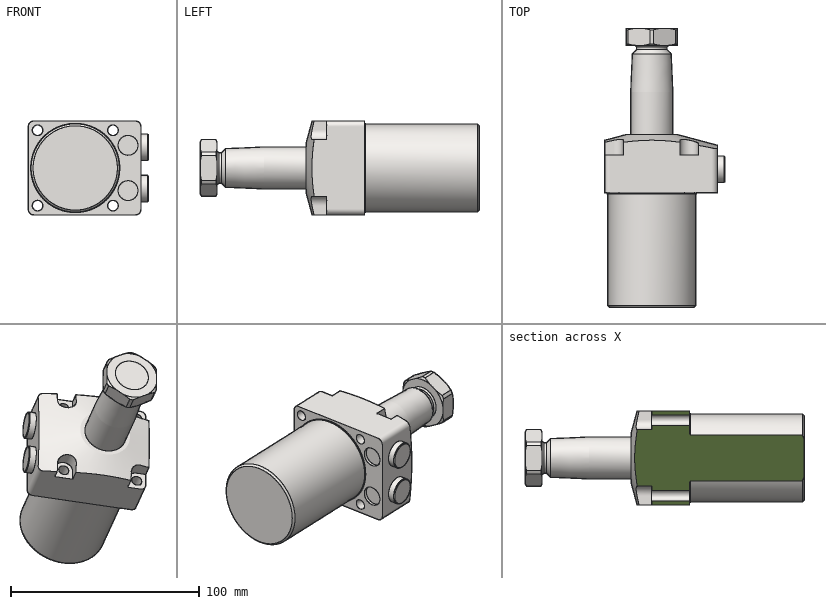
import cadquery as cq
import math


TOTAL_LENGTH = 148.5
TOTAL_WIDTH = 63.9

BLOCK_HEIGHT = 50.0
BLOCK_LENGTH = 60.0
BLOCK_LEFT = -BLOCK_HEIGHT / 2
BLOCK_RIGHT = BLOCK_LEFT + BLOCK_LENGTH
CROWN_Y = 31.0
CORNER_RADIUS = 3.0
CROWN_FLAT_RADIUS = 13.7
CROWN_ANGLE = 15

CYLINDER_RADIUS = 23.5
CYLINDER_LENGTH = 61.0
CYLINDER_CHAMFER = 1.0
COLLAR_RADIUS = 23.8
COLLAR_LENGTH = 0.6

HOLE_OFFSET = 20.0
HOLE_DIAMETER = 5.5
NOTCH_RADIUS = 4.9
NOTCH_FLOOR_Y = 20.2

RECESS_X = 28.0
RECESS_OFFSET_Z = 12.0
RECESS_DIAMETER = 10.5
RECESS_DEPTH = 1.6

PLUG_Y = 12.5
PLUG_OFFSET_Z = 11.0
PLUG_DIAMETER = 14.3
PLUG_LENGTH = TOTAL_WIDTH + BLOCK_LEFT - BLOCK_RIGHT
PLUG_CHAMFER = 0.5

ROD_RADIUS = 11.3
TAPER_START_Y = 53.5
TAPER_END_Y = 74.0
TAPER_END_RADIUS = 10.4
NECK_RADIUS = 8.2
NECK_START_Y = 76.2
THREAD_RADIUS = 9.0

TOP_Y = TOTAL_LENGTH - CYLINDER_LENGTH
NUT_THICKNESS = 9.0
NUT_ACROSS_FLATS = 27.2
NUT_CORNER_RADIUS = 15.1
NUT_FACE_RADIUS = 13.8
NUT_CHAMFER = 0.7
NUT_BOTTOM_Y = TOP_Y - NUT_THICKNESS


def rod_along_y(radius, start_y, end_y, x=0, z=0):
    """Round bar parallel to the Y axis."""
    return cq.Workplane("XZ", origin=(x, start_y, z)).circle(radius).extrude(start_y - end_y)


def turned(profile):
    """Solid turned around the Y axis from (radius, y) points."""
    return cq.Workplane("XY").polyline(profile).close().revolve(360, (0, 0, 0), (0, 1, 0))


def crowned_block():
    """Block with rounded edges whose +Y face is a shallow cone around a flat."""
    block = (
        cq.Workplane("XY")
        .box(BLOCK_LENGTH, CROWN_Y, BLOCK_HEIGHT, centered=(False, False, True))
        .translate((BLOCK_LEFT, 0, 0))
        .edges("|Y")
        .fillet(CORNER_RADIUS)
    )
    outer_radius = BLOCK_LENGTH
    crown_drop = (outer_radius - CROWN_FLAT_RADIUS) * math.tan(math.radians(CROWN_ANGLE))
    crown = turned([
        (0, 0),
        (outer_radius, 0),
        (outer_radius, CROWN_Y - crown_drop),
        (CROWN_FLAT_RADIUS, CROWN_Y),
        (0, CROWN_Y),
    ])
    return block.intersect(crown)


def cylinder():
    """Cylinder that stands on the mounting face, with a collar and a chamfered end."""
    return turned([
        (0, 0),
        (COLLAR_RADIUS, 0),
        (COLLAR_RADIUS, -COLLAR_LENGTH),
        (CYLINDER_RADIUS, -COLLAR_LENGTH),
        (CYLINDER_RADIUS, CYLINDER_CHAMFER - CYLINDER_LENGTH),
        (CYLINDER_RADIUS - CYLINDER_CHAMFER, -CYLINDER_LENGTH),
        (0, -CYLINDER_LENGTH),
    ])


def notch_slot(direction_x, direction_z, x, z):
    """Round-ended slot that runs from a hole centre outwards past the block's side."""
    reach = BLOCK_HEIGHT / 2
    width_x = reach if direction_x else 2 * NOTCH_RADIUS
    width_z = reach if direction_z else 2 * NOTCH_RADIUS
    return (
        cq.Workplane("XY")
        .box(width_x, CROWN_Y, width_z, centered=(True, False, True))
        .translate((x + direction_x * reach / 2, NOTCH_FLOOR_Y, z + direction_z * reach / 2))
        .union(rod_along_y(NOTCH_RADIUS, NOTCH_FLOOR_Y, NOTCH_FLOOR_Y + CROWN_Y, x, z))
    )


def make_housing():
    """Block and cylinder in one piece, with its holes, notches and recesses."""
    housing = crowned_block().union(cylinder())
    for side_z in (-1, 1):
        z = side_z * HOLE_OFFSET
        for side_x in (-1, 1):
            x = side_x * HOLE_OFFSET
            housing = housing.cut(rod_along_y(HOLE_DIAMETER / 2, 0, CROWN_Y, x, z))
            housing = housing.cut(notch_slot(0, side_z, x, z))
        housing = housing.cut(notch_slot(-1, 0, -HOLE_OFFSET, z))
        recess_z = side_z * RECESS_OFFSET_Z
        housing = housing.cut(rod_along_y(RECESS_DIAMETER / 2, 0, RECESS_DEPTH, RECESS_X, recess_z))
    return housing


def make_rod():
    """Rod with a tapered seat, a neck and a threaded end that fills the nut's bore."""
    thread_flare = THREAD_RADIUS - NECK_RADIUS
    return turned([
        (0, CROWN_Y),
        (ROD_RADIUS, CROWN_Y),
        (ROD_RADIUS, TAPER_START_Y),
        (TAPER_END_RADIUS, TAPER_END_Y),
        (NECK_RADIUS, NECK_START_Y),
        (NECK_RADIUS, NUT_BOTTOM_Y - thread_flare),
        (THREAD_RADIUS, NUT_BOTTOM_Y),
        (THREAD_RADIUS, TOP_Y),
        (0, TOP_Y),
    ])


def make_nut():
    """Hexagon nut with turned corners and a chamfer at each end."""
    hexagon = (
        cq.Workplane("XZ", origin=(0, NUT_BOTTOM_Y, 0))
        .polygon(6, NUT_ACROSS_FLATS, circumscribed=True)
        .extrude(-NUT_THICKNESS)
    )
    blank = turned([
        (0, NUT_BOTTOM_Y),
        (NUT_FACE_RADIUS, NUT_BOTTOM_Y),
        (NUT_CORNER_RADIUS, NUT_BOTTOM_Y + NUT_CHAMFER),
        (NUT_CORNER_RADIUS, TOP_Y - NUT_CHAMFER),
        (NUT_FACE_RADIUS, TOP_Y),
        (0, TOP_Y),
    ])
    bore = rod_along_y(THREAD_RADIUS, NUT_BOTTOM_Y, TOP_Y)
    return hexagon.intersect(blank).cut(bore)


def make_plug(z):
    """Round plug on the +X side of the block."""
    return (
        cq.Workplane("YZ", origin=(BLOCK_RIGHT, PLUG_Y, z))
        .circle(PLUG_DIAMETER / 2)
        .extrude(PLUG_LENGTH)
        .faces(">X")
        .chamfer(PLUG_CHAMFER)
    )


housing = make_housing()
rod = make_rod()
nut = make_nut()
plugs = [make_plug(side * PLUG_OFFSET_Z).val() for side in (-1, 1)]

result = cq.Compound.makeCompound([housing.val(), rod.val(), nut.val(), *plugs])